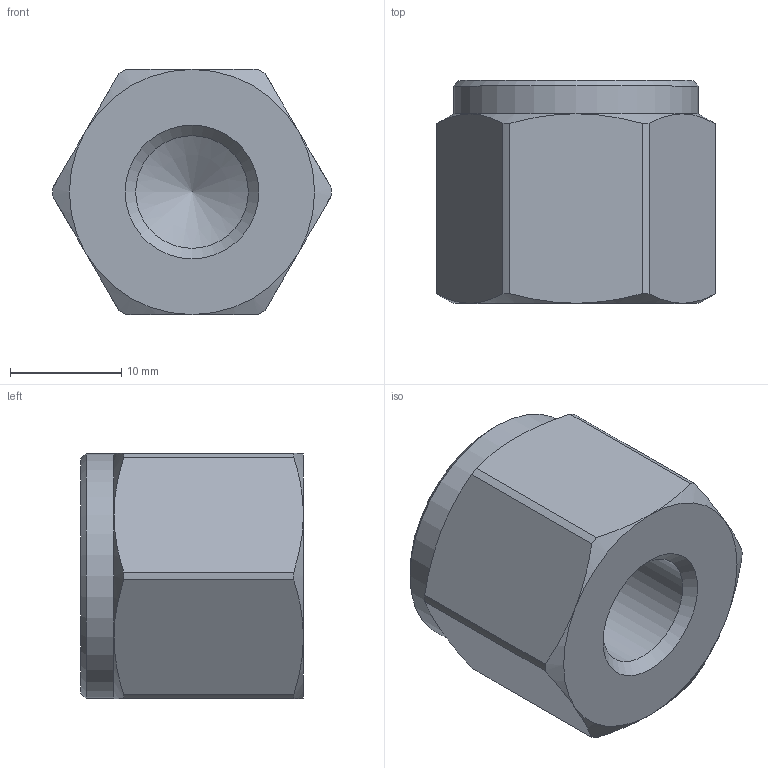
import cadquery as cq
import math

hex_sides = 6
across_flats = 22.0
corner_diameter = 25.0
total_length = 20.0

collar_length = 3.0
collar_diameter = across_flats
collar_chamfer = 0.5

hex_length = total_length - collar_length
hex_chamfer_angle = 30.0

hole_diameter = 10.106
mouth_diameter = 12.0
mouth_angle = 45.0
hole_depth = 15.0
drill_point_angle = 120.0


def revolve_about_y(profile):
    """Revolve a closed (radius, y) outline a full turn about the Y axis."""
    outline = cq.Workplane("XY").polyline(profile).close()
    return outline.revolve(360, (0, 0, 0), (0, 1, 0))


def make_hexagon():
    """Hexagonal prism with corners along X, rounded and chamfered at both ends."""
    vertex_diameter = across_flats / math.cos(math.pi / hex_sides)
    prism = cq.Workplane("XZ").polygon(hex_sides, vertex_diameter).extrude(-hex_length)

    face_radius = across_flats / 2
    corner_radius = corner_diameter / 2
    slope = math.tan(math.radians(hex_chamfer_angle))
    chamfer_length = (corner_radius - face_radius) * slope
    envelope = revolve_about_y([
        (0, 0),
        (face_radius, 0),
        (corner_radius, chamfer_length),
        (corner_radius, hex_length - chamfer_length),
        (face_radius, hex_length),
        (0, hex_length),
    ])
    return prism.intersect(envelope)


def make_collar():
    """Round collar with a chamfered rim on the closed end."""
    radius = collar_diameter / 2
    return revolve_about_y([
        (0, hex_length),
        (radius, hex_length),
        (radius, total_length - collar_chamfer),
        (radius - collar_chamfer, total_length),
        (0, total_length),
    ])


def make_hole():
    """Blind drilled hole, as a solid to be removed."""
    hole_radius = hole_diameter / 2
    mouth_radius = mouth_diameter / 2
    mouth_depth = (mouth_radius - hole_radius) / math.tan(math.radians(mouth_angle))
    point_depth = hole_radius / math.tan(math.radians(drill_point_angle / 2))
    return revolve_about_y([
        (0, 0),
        (mouth_radius, 0),
        (hole_radius, mouth_depth),
        (hole_radius, hole_depth),
        (0, hole_depth + point_depth),
    ])


result = make_hexagon().union(make_collar()).cut(make_hole())